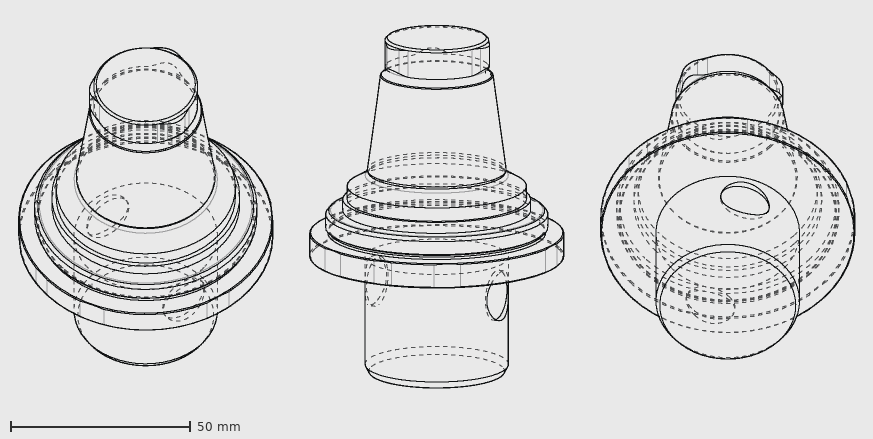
import cadquery as cq
import math

TOTAL_HEIGHT = 96.0
FLANGE_BOTTOM = 32.9
FLANGE_TOP = 39.9
GROOVE_FLOOR_BOTTOM = 40.5
GROOVE_FLOOR_TOP = 41.0
COLLAR_BOTTOM = 41.5
COLLAR_TOP = 46.4
LOWER_STEP_TOP = 49.5
UPPER_STEP_TOP = 53.4
CONE_TOP = 56.4
TAPER_BOTTOM = 58.0
TAPER_TOP = 85.4
HEAD_BOTTOM = 87.6

SHANK_RADIUS = 40.0 / 2
FLANGE_RADIUS = 70.9 / 2
GROOVE_RADIUS = 60.1 / 2
COLLAR_RADIUS = 62.0 / 2
LOWER_STEP_RADIUS = 52.4 / 2
UPPER_STEP_RADIUS = 50.0 / 2
CONE_TOP_RADIUS = 20.0
TAPER_BASE_RADIUS = 19.4
TAPER_BASE_NECK_RADIUS = 19.1
TAPER_TOP_RADIUS = 15.7
HEAD_RADIUS = 14.5

SHANK_CHAMFER_HEIGHT = 2.0
SHANK_CHAMFER_WIDTH = 1.1
FLANGE_CHAMFER = 0.3
GROOVE_FLARE = 0.4
COLLAR_CHAMFER_HEIGHT = 1.2
COLLAR_CHAMFER_WIDTH = 0.9
COLLAR_LIP_HEIGHT = 0.1
COLLAR_LIP_WIDTH = 0.5
TAPER_EDGE = 0.3
BASE_NECK_HEIGHT = 0.7
BASE_NECK_FILLET = 1.1
HEAD_NECK_FILLET = 1.4
HEAD_CHAMFER = 0.7

POCKET_RADIUS = 14.0 / 2
POCKET_HEIGHT = 23.9
POCKET_FLOOR_X = 18.3

MAIN_FLAT_COUNT = 6
MAIN_FLAT_DISTANCE = 70.6 / 2
FRONT_FLAT_DEPTH = 0.11

LOBE_COUNT = 3
LOBE_TIP_RADIUS = 15.7
LOBE_SHOULDER_X = 14.9
LOBE_SHOULDER_Y = 3.0
LOBE_ROOT_ANGLE = math.radians(22)
LOBE_BOTTOM = 89.1
LOBE_TOP_DROP = 0.3


def turned_body():
    """Revolve the half section of the adapter about Z."""
    head_edge_z = TOTAL_HEIGHT - HEAD_CHAMFER
    section = (
        cq.Workplane("XZ")
        .lineTo(SHANK_RADIUS - SHANK_CHAMFER_WIDTH, 0)
        .lineTo(SHANK_RADIUS, SHANK_CHAMFER_HEIGHT)
        .lineTo(SHANK_RADIUS, FLANGE_BOTTOM)
        .lineTo(FLANGE_RADIUS - FLANGE_CHAMFER, FLANGE_BOTTOM)
        .lineTo(FLANGE_RADIUS, FLANGE_BOTTOM + FLANGE_CHAMFER)
        .lineTo(FLANGE_RADIUS, FLANGE_TOP - FLANGE_CHAMFER)
        .lineTo(FLANGE_RADIUS - FLANGE_CHAMFER, FLANGE_TOP)
        .lineTo(GROOVE_RADIUS + GROOVE_FLARE, FLANGE_TOP)
        .lineTo(GROOVE_RADIUS, GROOVE_FLOOR_BOTTOM)
        .lineTo(GROOVE_RADIUS, GROOVE_FLOOR_TOP)
        .lineTo(COLLAR_RADIUS, COLLAR_BOTTOM)
        .lineTo(COLLAR_RADIUS, COLLAR_TOP - COLLAR_CHAMFER_HEIGHT)
        .lineTo(COLLAR_RADIUS - COLLAR_CHAMFER_WIDTH, COLLAR_TOP - COLLAR_LIP_HEIGHT)
        .lineTo(COLLAR_RADIUS - COLLAR_CHAMFER_WIDTH - COLLAR_LIP_WIDTH, COLLAR_TOP)
        .lineTo(LOWER_STEP_RADIUS, COLLAR_TOP)
        .lineTo(LOWER_STEP_RADIUS, LOWER_STEP_TOP)
        .lineTo(UPPER_STEP_RADIUS, LOWER_STEP_TOP)
        .lineTo(UPPER_STEP_RADIUS, UPPER_STEP_TOP)
        .lineTo(CONE_TOP_RADIUS, CONE_TOP)
        .radiusArc((TAPER_BASE_NECK_RADIUS, TAPER_BOTTOM - BASE_NECK_HEIGHT), BASE_NECK_FILLET)
        .lineTo(TAPER_BASE_RADIUS, TAPER_BOTTOM)
        .lineTo(TAPER_TOP_RADIUS, TAPER_TOP - TAPER_EDGE)
        .lineTo(TAPER_TOP_RADIUS - TAPER_EDGE, TAPER_TOP)
        .radiusArc((HEAD_RADIUS, HEAD_BOTTOM), HEAD_NECK_FILLET)
        .lineTo(HEAD_RADIUS, head_edge_z)
        .lineTo(HEAD_RADIUS - HEAD_CHAMFER, TOTAL_HEIGHT)
        .lineTo(0, TOTAL_HEIGHT)
        .close()
    )
    return section.revolve(360, (0, 0, 0), (0, 1, 0))


def bayonet_lobes():
    """Three rounded lobes with a conical underside and a slightly sloping top."""
    head_edge_z = TOTAL_HEIGHT - HEAD_CHAMFER
    root_x = HEAD_RADIUS * math.cos(LOBE_ROOT_ANGLE)
    root_y = HEAD_RADIUS * math.sin(LOBE_ROOT_ANGLE)
    prism = (
        cq.Workplane("XY", origin=(0, 0, HEAD_BOTTOM))
        .lineTo(root_x, -root_y)
        .lineTo(LOBE_SHOULDER_X, -LOBE_SHOULDER_Y)
        .threePointArc((LOBE_TIP_RADIUS, 0), (LOBE_SHOULDER_X, LOBE_SHOULDER_Y))
        .lineTo(root_x, root_y)
        .close()
        .extrude(head_edge_z - HEAD_BOTTOM)
    )
    envelope = (
        cq.Workplane("XZ")
        .moveTo(0, HEAD_BOTTOM)
        .lineTo(HEAD_RADIUS, HEAD_BOTTOM)
        .lineTo(LOBE_TIP_RADIUS, LOBE_BOTTOM)
        .lineTo(LOBE_TIP_RADIUS, head_edge_z - LOBE_TOP_DROP)
        .lineTo(HEAD_RADIUS, head_edge_z)
        .lineTo(0, head_edge_z)
        .close()
        .revolve(360, (0, 0, 0), (0, 1, 0))
    )
    lobe = prism.intersect(envelope)
    lobes = lobe
    for index in range(1, LOBE_COUNT):
        lobes = lobes.union(lobe.rotate((0, 0, 0), (0, 0, 1), index * 360 / LOBE_COUNT))
    return lobes


def rim_cutter(distance, angle):
    """Block that cuts a flat on the flange rim at a distance from the axis."""
    return (
        cq.Workplane("XY", origin=(0, 0, FLANGE_BOTTOM))
        .rect(FLANGE_RADIUS, FLANGE_RADIUS)
        .extrude(FLANGE_TOP - FLANGE_BOTTOM)
        .translate((distance + FLANGE_RADIUS / 2, 0, 0))
        .rotate((0, 0, 0), (0, 0, 1), angle)
    )


def shank_pocket(angle):
    """Radial cylinder from the pocket floor out past the shank surface."""
    return (
        cq.Workplane("YZ", origin=(POCKET_FLOOR_X, 0, 0))
        .center(0, POCKET_HEIGHT)
        .circle(POCKET_RADIUS)
        .extrude(SHANK_RADIUS)
        .rotate((0, 0, 0), (0, 0, 1), angle)
    )


result = turned_body().union(bayonet_lobes())

for flat in range(MAIN_FLAT_COUNT):
    result = result.cut(rim_cutter(MAIN_FLAT_DISTANCE, flat * 360 / MAIN_FLAT_COUNT))
result = result.cut(rim_cutter(FLANGE_RADIUS - FRONT_FLAT_DEPTH, -90))

for side_angle in (0, 180):
    result = result.cut(shank_pocket(side_angle))